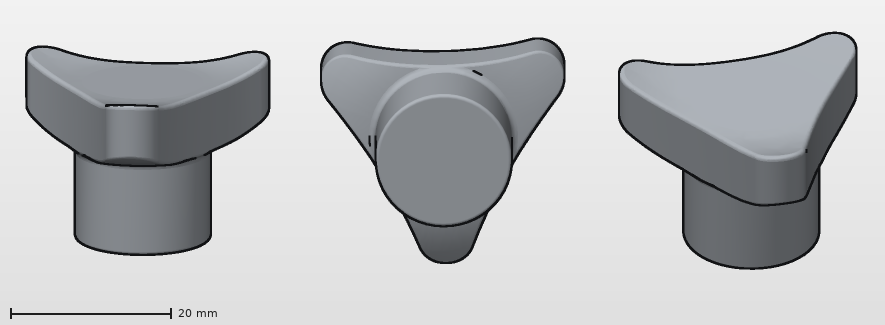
import cadquery as cq
import math

width = 30.38
lobe_distance = 13.5
lobe_radius = (width - math.sqrt(3) * lobe_distance) / 2
side_arc_radius = 60.75
tip_radius = lobe_distance + lobe_radius

dish_flat_radius = 7.6
dish_floor_z = 20.05
dish_arc_radius = 22.8
underside_z = 12.0
underside_flat_radius = 7.3
underside_arc_radius = 17.0
top_edge_fillet = 0.52
bottom_edge_fillet = 0.45

hub_radius = 8.5
hub_bottom_fillet = 0.45
neck_fillet = 1.03
hub_overlap = 0.9

trim_margin = 1.22

wall_tolerance = 0.0003


def polar(radius, angle):
    return (radius * math.cos(math.radians(angle)), radius * math.sin(math.radians(angle)))


def outline_prism(height):
    """Triangle of round lobes joined by concave arcs tangent to them."""
    half_span = lobe_distance * math.sin(math.radians(60))
    lobe_inset = lobe_distance * math.cos(math.radians(60))
    centre_distance = lobe_inset + math.sqrt((side_arc_radius + lobe_radius) ** 2 - half_span ** 2)
    side_middle_radius = centre_distance - side_arc_radius

    tangent_fraction = side_arc_radius / (side_arc_radius + lobe_radius)
    tangent_x = half_span * tangent_fraction
    tangent_y = centre_distance - (centre_distance - lobe_inset) * tangent_fraction
    tangent_radius = math.hypot(tangent_x, tangent_y)
    tangent_offset = math.degrees(math.atan2(tangent_x, tangent_y))

    outline = cq.Workplane("XY").moveTo(*polar(tangent_radius, 30 + tangent_offset))
    for lobe_angle in (90, 210, 330):
        side_angle = lobe_angle + 60
        outline = outline.threePointArc(
            polar(tip_radius, lobe_angle), polar(tangent_radius, side_angle - tangent_offset)
        )
        outline = outline.threePointArc(
            polar(side_middle_radius, side_angle), polar(tangent_radius, side_angle + tangent_offset)
        )
    return outline.close().extrude(height)


def rising_arc(flat_radius, arc_radius, flat_z, radius):
    """Point on an arc that leaves a flat tangentially at flat_radius and curves up."""
    run = radius - flat_radius
    return (radius, flat_z + arc_radius - math.sqrt(arc_radius ** 2 - run ** 2))


def head_envelope():
    """Revolved body between the upswept underside and the dished top."""
    outer = tip_radius + trim_margin
    middle = (dish_flat_radius + outer) / 2
    underside = (underside_flat_radius, underside_arc_radius, underside_z)
    dish = (dish_flat_radius, dish_arc_radius, dish_floor_z)
    return (
        cq.Workplane("XZ")
        .moveTo(0, underside_z)
        .lineTo(underside_flat_radius, underside_z)
        .threePointArc(rising_arc(*underside, middle), rising_arc(*underside, outer))
        .lineTo(*rising_arc(*dish, outer))
        .threePointArc(rising_arc(*dish, middle), (dish_flat_radius, dish_floor_z))
        .lineTo(0, dish_floor_z)
        .close()
        .revolve(360, (0, 0, 0), (0, 1, 0))
    )


def make_hub(prism):
    """Round hub whose neck flares into the underside, within the head outline."""
    flare_radius = hub_radius + neck_fillet
    flare_top_z = rising_arc(underside_flat_radius, underside_arc_radius, underside_z, flare_radius)[1]
    flare_bottom_z = flare_top_z - neck_fillet
    arc_inset = neck_fillet * math.sin(math.radians(45))
    hub = (
        cq.Workplane("XZ")
        .lineTo(hub_radius, 0)
        .lineTo(hub_radius, flare_bottom_z)
        .threePointArc(
            (flare_radius - arc_inset, flare_bottom_z + arc_inset), (flare_radius, flare_top_z)
        )
        .lineTo(flare_radius, flare_top_z + hub_overlap)
        .lineTo(0, flare_top_z + hub_overlap)
        .close()
        .revolve(360, (0, 0, 0), (0, 1, 0))
    )
    return hub.faces("<Z").edges().fillet(hub_bottom_fillet).intersect(prism)


def rim_edges(body, prism):
    """Curved edges lying on the side wall of the outline, at its top and bottom."""
    walls = cq.Compound.makeCompound(prism.faces("not |Z").vals())

    def on_wall(edge):
        midpoint = cq.Vertex.makeVertex(*edge.positionAt(0.5).toTuple())
        return walls.distance(midpoint) < wall_tolerance

    return [edge for edge in body.edges("not %LINE").vals() if on_wall(edge)]


def round_rims(body, prism):
    middle_z = (underside_z + dish_floor_z) / 2
    rims = rim_edges(body, prism)
    top_rim = [edge for edge in rims if edge.Center().z > middle_z]
    bottom_rim = [edge for edge in rims if edge.Center().z < middle_z]
    rounded = body.newObject(bottom_rim).fillet(bottom_edge_fillet)
    return rounded.newObject(top_rim).fillet(top_edge_fillet)


prism = outline_prism(2 * dish_floor_z)
head = prism.intersect(head_envelope())
knob = head.union(make_hub(prism))
result = round_rims(knob, prism)